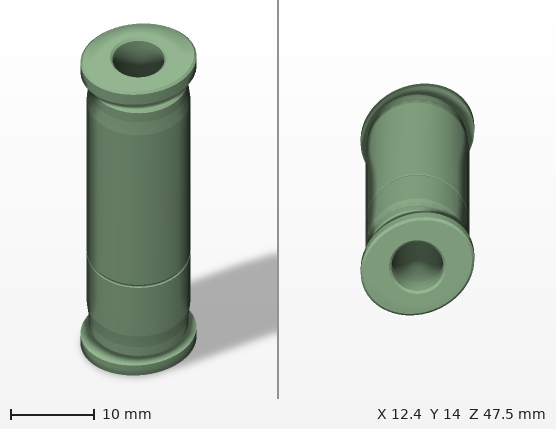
import cadquery as cq

length = 47.5
body_diameter = 12.4

ring_width_x = 11.95
ring_width_y = 14.0
ring_thickness = 1.95
ring_chamfer = 0.3

neck_diameter = 8.0
neck_flare = 0.3
neck_flare_height = 0.35

body_inset = 3.2
collar_diameter = 11.95
collar_chamfer = 0.3
taper_start = 4.95
taper_end = 6.95

groove_top = 15.55
groove_bottom = 15.05
groove_depth = 0.3

bore_diameter = 6.2
bore_chamfer = 0.3
bore_depth = 17.1

body_radius = body_diameter / 2
collar_radius = collar_diameter / 2
neck_radius = neck_diameter / 2
bore_radius = bore_diameter / 2


def make_body():
    """Revolved body with tapered ends and the joint groove."""
    groove_radius = body_radius - groove_depth
    chamfered_radius = collar_radius - collar_chamfer
    profile = [
        (0, body_inset),
        (chamfered_radius, body_inset),
        (collar_radius, body_inset + collar_chamfer),
        (collar_radius, taper_start),
        (body_radius, taper_end),
        (body_radius, groove_bottom),
        (groove_radius, groove_bottom),
        (groove_radius, groove_top - groove_depth),
        (body_radius, groove_top),
        (body_radius, length - taper_end),
        (collar_radius, length - taper_start),
        (collar_radius, length - body_inset - collar_chamfer),
        (chamfered_radius, length - body_inset),
        (0, length - body_inset),
    ]
    return cq.Workplane("XZ").polyline(profile).close().revolve(360, (0, 0), (0, 1))


def make_lower_ring():
    """Elliptical release ring with its flared neck, at the lower end."""
    ring = (
        cq.Workplane("XY")
        .ellipse(ring_width_x / 2, ring_width_y / 2)
        .extrude(ring_thickness)
        .faces("<Z")
        .edges()
        .chamfer(ring_chamfer)
    )
    neck_profile = [
        (0, ring_thickness),
        (neck_radius + neck_flare, ring_thickness),
        (neck_radius, ring_thickness + neck_flare_height),
        (neck_radius, body_inset),
        (0, body_inset),
    ]
    neck = cq.Workplane("XZ").polyline(neck_profile).close().revolve(360, (0, 0), (0, 1))
    return ring.union(neck)


def make_lower_bore():
    """Blind socket with a chamfered mouth, opening at the lower end."""
    profile = [
        (0, 0),
        (bore_radius + bore_chamfer, 0),
        (bore_radius, bore_chamfer),
        (bore_radius, bore_depth),
        (0, bore_depth),
    ]
    return cq.Workplane("XZ").polyline(profile).close().revolve(360, (0, 0), (0, 1))


def at_upper_end(shape):
    """Mirror a lower-end feature to the upper end."""
    return shape.mirror("XY", (0, 0, length / 2))


ring = make_lower_ring()
bore = make_lower_bore()
result = make_body().union(ring).union(at_upper_end(ring))
result = result.cut(bore).cut(at_upper_end(bore))